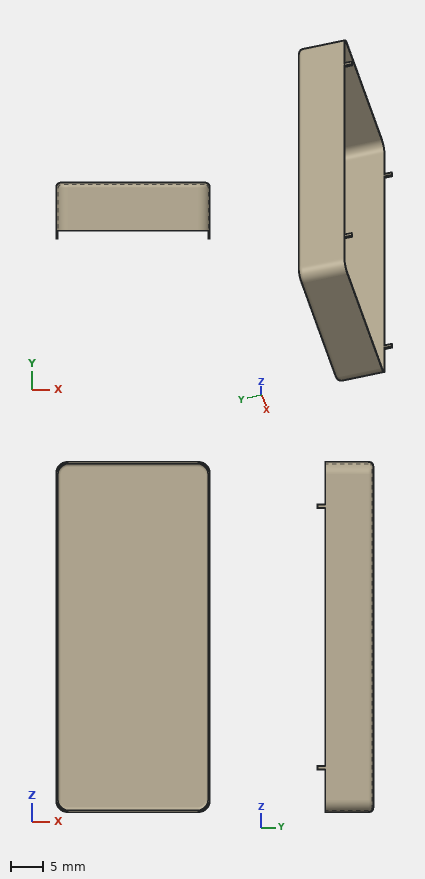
import cadquery as cq

WIDTH = 23.9
HEIGHT = 54.4
DEPTH = 7.5

WALL = 0.3
CORNER_RADIUS = 1.9
BACK_EDGE_RADIUS = 0.8

PIN_LENGTH = 1.2
PIN_HEIGHT = 0.6
PIN_SPACING = 40.6

RIM_Y = -DEPTH / 2
BACK_Y = DEPTH / 2


def rounded_block(inset, front_y, back_y):
    """Block inset from the outer walls, with rounded corners and a rounded back edge."""
    return (
        cq.Workplane("XY")
        .box(WIDTH - 2 * inset, back_y - front_y, HEIGHT - 2 * inset)
        .translate((0, (front_y + back_y) / 2, 0))
        .edges("|Y")
        .fillet(CORNER_RADIUS - inset)
        .faces(">Y")
        .edges()
        .fillet(BACK_EDGE_RADIUS - inset)
    )


def tray():
    """Thin shell of even thickness, open toward -Y."""
    outside = rounded_block(0, RIM_Y, BACK_Y)
    cavity = rounded_block(WALL, RIM_Y, BACK_Y - WALL)
    return outside.cut(cavity)


def pin(side, z):
    """Pin as thick as the wall; it continues the wall on the given side (-1 or 1)."""
    return (
        cq.Workplane("XY")
        .box(WALL, PIN_LENGTH, PIN_HEIGHT)
        .translate((side * (WIDTH - WALL) / 2, RIM_Y - PIN_LENGTH / 2, z))
    )


result = tray()
for side in (-1, 1):
    for z in (-PIN_SPACING / 2, PIN_SPACING / 2):
        result = result.union(pin(side, z))